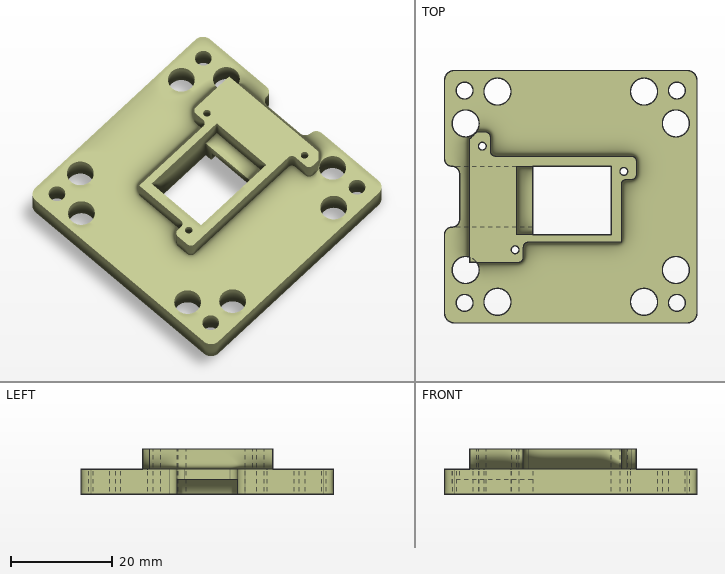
import cadquery as cq

plate_size = 50.0
plate_thickness = 5.0
plate_corner_radius = 2.0
plate_half = plate_size / 2

corner_hole_diameter = 3.3
corner_hole_offset = 21.0
large_hole_diameter = 5.3
large_hole_outer_offset = 20.8
large_hole_inner_offset = 14.5

notch_half_width = 6.0
notch_radius = 1.5
notch_depth = 2 * notch_radius
channel_height = 3.0

frame_height = 4.0
frame_left = -20.0
frame_right = 10.0
frame_back = 8.0
frame_front = -9.0
frame_corner_radius = 1.0
frame_chamfer = 1.4

back_tab_right = -15.9
back_tab_end = 12.8
right_tab_end = 13.0
right_tab_front = 3.4
front_tab_right = -9.4
front_tab_end = -13.0

pilot_hole_diameter = 1.5
pilot_hole_centres = [(-17.5, 10.0), (10.5, 5.0), (-11.0, -10.5)]

window_right = 8.0
window_back = notch_half_width
window_front = -7.5
frame_window_left = -10.7
plate_window_left = -7.5

total_height = plate_thickness + frame_height


def block(x_min, x_max, y_min, y_max, z_min, z_max):
    """Box given by its limits along each axis."""
    size = (x_max - x_min, y_max - y_min, z_max - z_min)
    return cq.Workplane("XY").box(*size, centered=False).translate((x_min, y_min, z_min))


def through_holes(centres, diameter):
    """Vertical cylinders as tall as the whole part."""
    return cq.Workplane("XY").pushPoints(centres).circle(diameter / 2).extrude(total_height)


def make_plate():
    """Rounded plate with one small and two large holes at each corner."""
    plate = cq.Workplane("XY").rect(plate_size, plate_size).extrude(plate_thickness)
    plate = plate.edges("|Z").fillet(plate_corner_radius)
    corner_centres = []
    large_centres = []
    for side_x in (-1, 1):
        for side_y in (-1, 1):
            corner_centres.append((side_x * corner_hole_offset, side_y * corner_hole_offset))
            large_centres.append((side_x * large_hole_outer_offset, side_y * large_hole_inner_offset))
            large_centres.append((side_x * large_hole_inner_offset, side_y * large_hole_outer_offset))
    plate = plate.cut(through_holes(corner_centres, corner_hole_diameter))
    return plate.cut(through_holes(large_centres, large_hole_diameter))


def make_notch():
    """Notch whose side walls are S-curves of two tangent quarter arcs."""
    edge_x = -plate_half
    middle_x = edge_x + notch_radius
    floor_x = edge_x + notch_depth
    mouth_y = notch_half_width + notch_radius
    floor_y = notch_half_width - notch_radius
    return (
        cq.Workplane("XY")
        .moveTo(edge_x, mouth_y)
        .radiusArc((middle_x, notch_half_width), -notch_radius)
        .radiusArc((floor_x, floor_y), notch_radius)
        .lineTo(floor_x, -floor_y)
        .radiusArc((middle_x, -notch_half_width), notch_radius)
        .radiusArc((edge_x, -mouth_y), -notch_radius)
        .close()
        .extrude(plate_thickness)
    )


def make_channel():
    """Underside channel from the notch to the window."""
    return block(
        -plate_half + notch_radius, plate_window_left,
        -notch_half_width, notch_half_width,
        0, channel_height,
    )


def make_frame():
    """Frame with its screw tabs, chamfered at the -X, +Y corner."""
    outline = [
        (frame_left, front_tab_end),
        (front_tab_right, front_tab_end),
        (front_tab_right, frame_front),
        (frame_right, frame_front),
        (frame_right, right_tab_front),
        (right_tab_end, right_tab_front),
        (right_tab_end, frame_back),
        (back_tab_right, frame_back),
        (back_tab_right, back_tab_end),
        (frame_left, back_tab_end),
    ]
    square_corners = [(frame_left, front_tab_end), (frame_right, frame_front), (frame_left, back_tab_end)]
    rounded_corners = [point for point in outline if point not in square_corners]
    frame = cq.Workplane("XY", origin=(0, 0, plate_thickness)).polyline(outline).close().extrude(frame_height)
    for x, y in rounded_corners:
        corner = cq.selectors.NearestToPointSelector((x, y, plate_thickness + frame_height / 2))
        frame = frame.edges("|Z").edges(corner).fillet(frame_corner_radius)
    return frame.edges("|Z and <X and >Y").chamfer(frame_chamfer)


def make_window():
    """Stepped rectangular opening through the frame and the plate."""
    plate_window = block(
        plate_window_left, window_right, window_front, window_back, 0, total_height
    )
    frame_window = block(
        frame_window_left, window_right, window_front, window_back, plate_thickness, total_height
    )
    return plate_window.union(frame_window)


result = (
    make_plate()
    .cut(make_notch())
    .cut(make_channel())
    .union(make_frame())
    .cut(make_window())
    .cut(through_holes(pilot_hole_centres, pilot_hole_diameter))
)